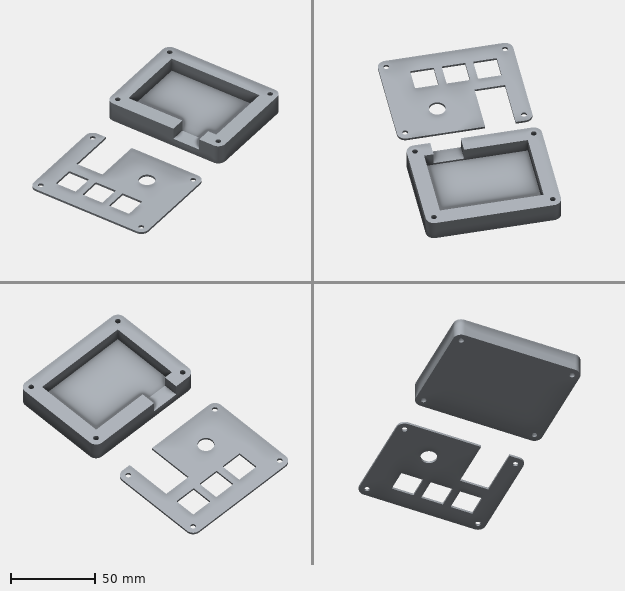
import cadquery as cq

TOTAL_X = 82.3
TOTAL_Y = 147.0
BODY_X = 82.0
BODY_Y = 65.0
CORNER_RADIUS = 5.0
SCREW_HOLE_DIAMETER = 3.4

CASE_HEIGHT = 13.0
WALL = 9.5
POCKET_DEPTH = 9.0
NOTCH_WIDTH = 18.5
NOTCH_DEPTH = 7.6
NOTCH_TO_RIGHT_SIDE = 15.3

PLATE_THICKNESS = 1.5
SLOT_WIDTH = NOTCH_WIDTH
SLOT_LENGTH = 31.0
SLOT_TO_LEFT_SIDE = 11.0
KNOB_HOLE_DIAMETER = 10.0
KNOB_HOLE_X = 54.4
KNOB_HOLE_TO_BACK = 20.4
KEY_COUNT = 3
KEY_SIZE = 14.3
KEY_PITCH = 19.1
KEY_CORNER_RADIUS = 0.5
FIRST_KEY_X = 18.5
KEY_ROW_Y = 18.5

PLATE_ORIGIN = (TOTAL_X - BODY_X, 0, 0)
CASE_ORIGIN = (0, TOTAL_Y - BODY_Y, 0)


def block(x, y, z, size_x, size_y, size_z):
    """Box with its lower front left corner at (x, y, z)."""
    return cq.Workplane("XY").box(size_x, size_y, size_z, centered=False).translate((x, y, z))


def rounded_slab(height):
    """Rounded slab with a screw hole concentric with each corner, front left corner at the origin."""
    slab = block(0, 0, 0, BODY_X, BODY_Y, height).edges("|Z").fillet(CORNER_RADIUS)
    hole_centers = [
        (x, y)
        for x in (CORNER_RADIUS, BODY_X - CORNER_RADIUS)
        for y in (CORNER_RADIUS, BODY_Y - CORNER_RADIUS)
    ]
    holes = cq.Workplane("XY").pushPoints(hole_centers).circle(SCREW_HOLE_DIAMETER / 2).extrude(height)
    return slab.cut(holes)


def make_case():
    pocket = block(
        WALL, WALL, CASE_HEIGHT - POCKET_DEPTH,
        BODY_X - 2 * WALL, BODY_Y - 2 * WALL, POCKET_DEPTH,
    )
    notch = block(
        BODY_X - NOTCH_TO_RIGHT_SIDE - NOTCH_WIDTH, 0, CASE_HEIGHT - NOTCH_DEPTH,
        NOTCH_WIDTH, WALL, NOTCH_DEPTH,
    )
    return rounded_slab(CASE_HEIGHT).cut(pocket).cut(notch).translate(CASE_ORIGIN)


def make_plate():
    slot = block(
        SLOT_TO_LEFT_SIDE, BODY_Y - SLOT_LENGTH, 0,
        SLOT_WIDTH, SLOT_LENGTH, PLATE_THICKNESS,
    )
    knob_hole = (
        cq.Workplane("XY")
        .center(KNOB_HOLE_X, BODY_Y - KNOB_HOLE_TO_BACK)
        .circle(KNOB_HOLE_DIAMETER / 2)
        .extrude(PLATE_THICKNESS)
    )
    key_centers = [(FIRST_KEY_X + i * KEY_PITCH, KEY_ROW_Y) for i in range(KEY_COUNT)]
    keys = (
        cq.Workplane("XY")
        .pushPoints(key_centers)
        .rect(KEY_SIZE, KEY_SIZE)
        .extrude(PLATE_THICKNESS)
        .edges("|Z")
        .fillet(KEY_CORNER_RADIUS)
    )
    plate = rounded_slab(PLATE_THICKNESS).cut(slot).cut(knob_hole).cut(keys)
    return plate.translate(PLATE_ORIGIN)


case = make_case()
plate = make_plate()

result = cq.Compound.makeCompound([case.val(), plate.val()])